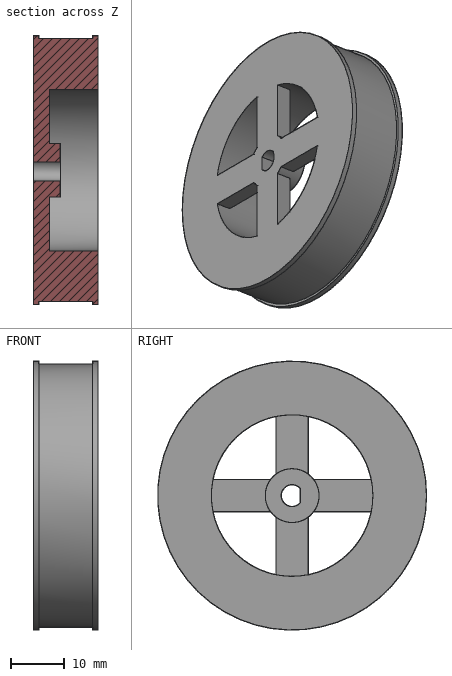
import cadquery as cq

wheel_width = 12.0
flange_diameter = 50.0
flange_thickness = 1.0
groove_depth = 0.5
rim_inner_diameter = 30.0
spoke_width = 6.0
spoke_thickness = 3.0
hub_diameter = 10.0
hub_length = 5.0
bore_diameter = 4.0
bore_flat_offset = 1.5


def disc(diameter, length, start=0.0):
    """Solid cylinder along +X, beginning at x = start."""
    return cq.Workplane("YZ", origin=(start, 0, 0)).circle(diameter / 2).extrude(length)


def make_rim():
    """Hollow rim with a shallow belt groove between two thin flanges."""
    tread_diameter = flange_diameter - 2 * groove_depth
    rim = disc(tread_diameter, wheel_width)
    for start in (0.0, wheel_width - flange_thickness):
        rim = rim.union(disc(flange_diameter, flange_thickness, start))
    return rim.cut(disc(rim_inner_diameter, wheel_width))


def make_spokes():
    """Two crossing bars whose ends are buried in the rim."""
    bar_length = (rim_inner_diameter + flange_diameter) / 2
    upright = cq.Workplane("YZ").rect(spoke_width, bar_length).extrude(spoke_thickness)
    level = cq.Workplane("YZ").rect(bar_length, spoke_width).extrude(spoke_thickness)
    return upright.union(level)


def make_bore():
    """Cutter for the D-shaped through bore, with its flat on the +Y side."""
    bore_radius = bore_diameter / 2
    keep_width = bore_radius + bore_flat_offset
    keep_center_y = (bore_flat_offset - bore_radius) / 2
    keep = (
        cq.Workplane("YZ")
        .center(keep_center_y, 0)
        .rect(keep_width, bore_diameter)
        .extrude(wheel_width)
    )
    return disc(bore_diameter, wheel_width).intersect(keep)


hub = disc(hub_diameter, hub_length)
result = make_rim().union(make_spokes()).union(hub).cut(make_bore())